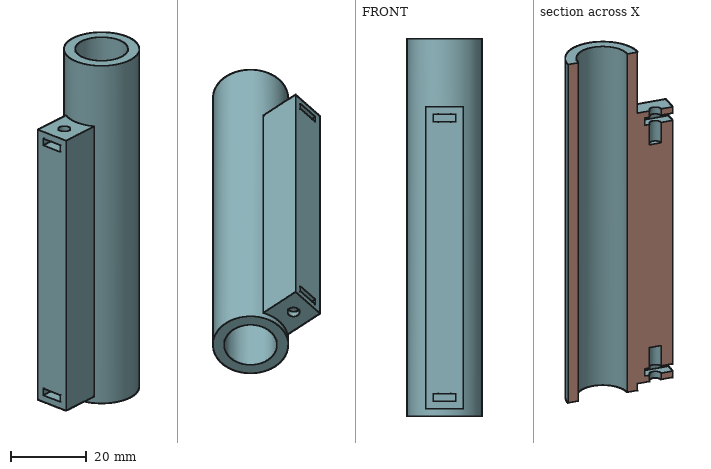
import cadquery as cq

tube_length = 100.0
tube_diameter = 20.0
bore_diameter = 14.0

block_width = 10.0
block_length = 80.0
block_bottom = 2.0
block_top = block_bottom + block_length
block_front = -20.0

screw_diameter = 3.2
screw_y = -15.0
screw_depth = 10.0
slot_width = 6.0
slot_height = 2.0
slot_end_wall = 2.0
slot_depth = abs(block_front - screw_y) + slot_width / 2


def make_block():
    """Block reaching to the tube axis, so that it fuses with the curved wall."""
    return cq.Workplane("XY").box(
        block_width, -block_front, block_length, centered=(True, False, False)
    ).translate((0, block_front, block_bottom))


def make_screw_hole(bottom):
    return (
        cq.Workplane("XY", origin=(0, screw_y, bottom))
        .circle(screw_diameter / 2)
        .extrude(screw_depth)
    )


def make_nut_slot(bottom):
    return cq.Workplane("XY").box(
        slot_width, slot_depth, slot_height, centered=(True, False, False)
    ).translate((0, block_front, bottom))


tube = cq.Workplane("XY").circle(tube_diameter / 2).extrude(tube_length)
bore = cq.Workplane("XY").circle(bore_diameter / 2).extrude(tube_length)

result = tube.union(make_block()).cut(bore)

for hole_bottom in (block_bottom, block_top - screw_depth):
    result = result.cut(make_screw_hole(hole_bottom))

lower_slot_bottom = block_bottom + slot_end_wall
upper_slot_bottom = block_top - slot_end_wall - slot_height
for slot_bottom in (lower_slot_bottom, upper_slot_bottom):
    result = result.cut(make_nut_slot(slot_bottom))